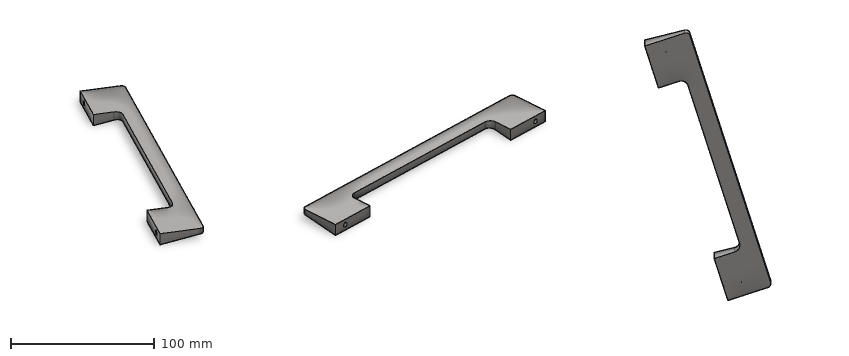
import cadquery as cq
import math

length = 212.0
depth = 32.0
leg_width = 35.0
bar_depth = 12.0
front_height = 9.0
back_height = 4.0
outer_radius = 3.0
inner_radius = 5.0

hole_spacing = 192.0
hole_diameter = 3.4
hole_depth = 12.7
drill_point_angle = 118.0
hole_height = front_height / 2

gap_width = length - 2 * leg_width
gap_depth = depth - bar_depth


def tapered_blank():
    """Flat-topped wedge, centred on X, with its tall front face at Y = 0."""
    profile = [
        (0, 0),
        (0, front_height),
        (depth, front_height),
        (depth, front_height - back_height),
    ]
    return cq.Workplane("YZ").polyline(profile).close().extrude(length / 2, both=True)


def gap_cutter():
    """Finger opening between the legs, rounded at its two back corners."""
    return (
        cq.Workplane("XY")
        .box(gap_width, gap_depth, front_height, centered=(True, False, False))
        .edges("|Z and >Y")
        .fillet(inner_radius)
    )


def screw_hole(x):
    """Blind hole with a conical drill point, running back from a leg's front face."""
    radius = hole_diameter / 2
    point_depth = radius / math.tan(math.radians(drill_point_angle / 2))
    profile = [
        (0, 0),
        (radius, 0),
        (radius, hole_depth),
        (0, hole_depth + point_depth),
    ]
    return (
        cq.Workplane("XY")
        .polyline(profile)
        .close()
        .revolve(360, (0, 0, 0), (0, 1, 0))
        .translate((x, 0, hole_height))
    )


blank = tapered_blank().edges("|Z and >Y").fillet(outer_radius)
result = blank.cut(gap_cutter())
for side in (-1, 1):
    result = result.cut(screw_hole(side * hole_spacing / 2))